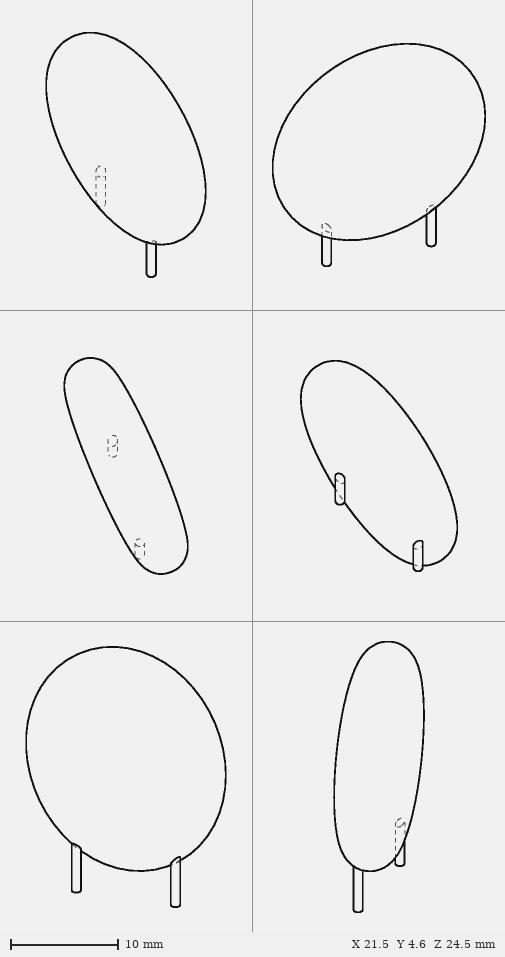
import cadquery as cq

disc_diameter = 21.5
disc_thickness = 4.6
rim_fillet = 2.25

lead_diameter = 0.9
lead_pitch_x = 10.0
lead_offset_y = 1.7
lead_protrusion = 3.03
tip_fillet = 0.2

disc_center_z = disc_diameter / 2


def make_disc():
    """Coin-shaped body with both rim edges rounded."""
    return (
        cq.Workplane("XZ", origin=(0, 0, disc_center_z))
        .circle(disc_diameter / 2)
        .extrude(disc_thickness / 2, both=True)
        .edges()
        .fillet(rim_fillet)
    )


def make_lead(x, y):
    """Vertical lead with a rounded tip; its upper end is buried in the disc."""
    return (
        cq.Workplane("XY", origin=(x, y, -lead_protrusion))
        .circle(lead_diameter / 2)
        .extrude(lead_protrusion + disc_center_z)
        .faces("<Z")
        .edges()
        .fillet(tip_fillet)
    )


result = make_disc()
for side in (-1, 1):
    lead = make_lead(side * lead_pitch_x / 2, -side * lead_offset_y / 2)
    result = result.union(lead)